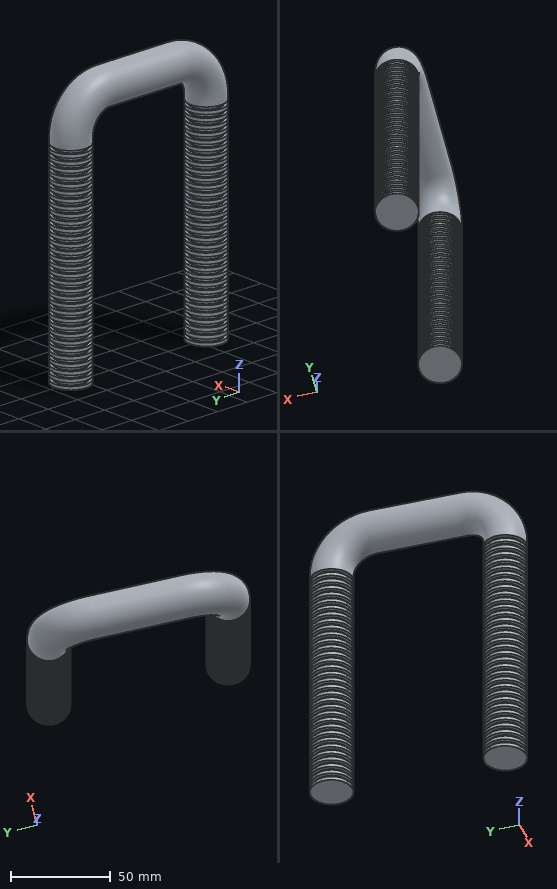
import cadquery as cq

bar_diameter = 22.0
overall_width = 114.0
overall_height = 164.0
bend_radius = 22.0

groove_root_diameter = 18.0
groove_width = 2.0
land_width = 2.0
groove_count = 32
cutter_clearance = 1.0

bar_radius = bar_diameter / 2
leg_offset = overall_width / 2 - bar_radius
leg_length = overall_height - bar_radius - bend_radius
bridge_length = 2 * (leg_offset - bend_radius)
groove_pitch = groove_width + land_width


def make_leg(y):
    """Straight grooved leg standing on Z = 0, centred at the given Y."""
    leg = cq.Workplane("XY").center(0, y).circle(bar_radius).extrude(leg_length)
    groove = (
        cq.Workplane("XY")
        .center(0, y)
        .circle(bar_radius + cutter_clearance)
        .circle(groove_root_diameter / 2)
        .extrude(groove_width)
    )
    for index in range(groove_count):
        leg = leg.cut(groove.translate((0, 0, land_width + index * groove_pitch)))
    return leg


def make_bend(side):
    """Quarter-turn elbow from the top of a leg to the bridge; side is -1 or +1 along Y."""
    return (
        cq.Workplane("XY", origin=(0, side * leg_offset, leg_length))
        .circle(bar_radius)
        .revolve(90, (0, -side * bend_radius, 0), (side, -side * bend_radius, 0))
    )


def make_bridge():
    """Straight bar joining the two bends along Y."""
    return (
        cq.Workplane("XZ", origin=(0, bridge_length / 2, leg_length + bend_radius))
        .circle(bar_radius)
        .extrude(bridge_length)
    )


result = make_bridge()
for side in (-1, 1):
    result = result.union(make_bend(side)).union(make_leg(side * leg_offset))